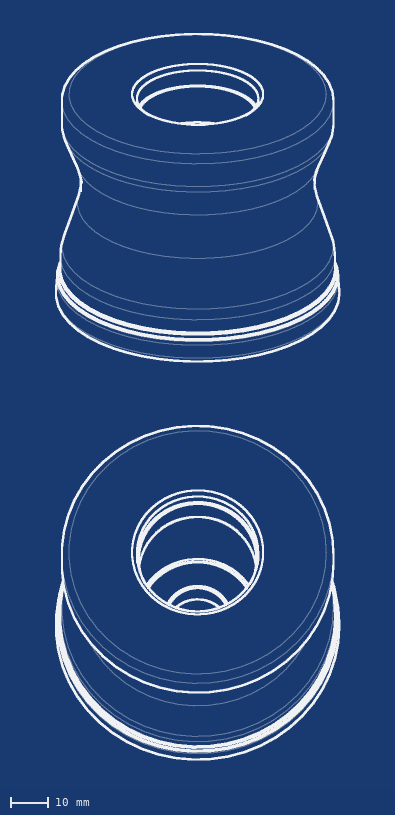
import cadquery as cq
import math

total_height = 63.5
base_height = 10.6

head_radius = 36.5
head_top_fillet = 2.0
head_bottom_z = 53.6
head_bottom_fillet = 5.0
waist_radius = 30.1
waist_z = 37.4
waist_fillet = 20.0
skirt_radius = 36.9
skirt_top_z = 16.0
skirt_fillet = 10.0

bore_radius = 16.3
bore_chamfer = 1.3
land_radius = 15.8
land_depth = 5.9
land_top_z = total_height - land_depth
land_bottom_z = 46.8
land_cone_bottom_z = 45.6

collar_bottom_z = 10.35
bevel_top_radius = 37.1
bevel_top_z = 10.05
bevel_bottom_radius = 37.5
bevel_bottom_z = 8.9
rim_edge_radius = 37.7
rim_edge_z = 8.6
rim_radius = 37.8
rim_top_z = 8.3
rim_taper_top_z = 7.2
rim_bottom_radius = 38.2
rim_bottom_z = 2.3
rim_bottom_fillet = 1.5
foot_radius = 31.5
recess_radius = 15.6
recess_depth = 0.75
hole_radius = 8.45
hole_chamfer = 0.45


def unit_vector(start, end):
    length = math.dist(start, end)
    return (end[0] - start[0]) / length, (end[1] - start[1]) / length


def corner_arc(before, corner, after, radius):
    """Start, middle and end of the arc that rounds one corner of an outline."""
    ax, az = unit_vector(corner, before)
    bx, bz = unit_vector(corner, after)
    half_angle = math.acos(ax * bx + az * bz) / 2
    tangent_length = radius / math.tan(half_angle)
    start = (corner[0] + tangent_length * ax, corner[1] + tangent_length * az)
    end = (corner[0] + tangent_length * bx, corner[1] + tangent_length * bz)
    dx, dz = unit_vector((0, 0), (ax + bx, az + bz))
    middle_distance = radius / math.sin(half_angle) - radius
    middle = (corner[0] + middle_distance * dx, corner[1] + middle_distance * dz)
    return start, middle, end


def revolved_body(corners):
    """Turn an outline of (radius, z, fillet) corners about Z; the first corner is sharp."""
    points = [(radius, z) for radius, z, fillet in corners]
    outline = cq.Workplane("XZ").moveTo(*points[0])
    for i in range(1, len(corners)):
        fillet = corners[i][2]
        if fillet == 0:
            outline = outline.lineTo(*points[i])
        else:
            after = points[(i + 1) % len(points)]
            start, middle, end = corner_arc(points[i - 1], points[i], after, fillet)
            outline = outline.lineTo(*start).threePointArc(middle, end)
    return outline.close().revolve(360, (0, 0), (0, 1))


def make_knob():
    return revolved_body([
        (bore_radius, base_height, 0),
        (skirt_radius, base_height, 0),
        (skirt_radius, skirt_top_z, skirt_fillet),
        (waist_radius, waist_z, waist_fillet),
        (head_radius, head_bottom_z, head_bottom_fillet),
        (head_radius, total_height, head_top_fillet),
        (bore_radius + bore_chamfer, total_height, 0),
        (bore_radius, total_height - bore_chamfer, 0),
        (bore_radius, land_top_z, 0),
        (land_radius, land_top_z, 0),
        (land_radius, land_bottom_z, 0),
        (bore_radius, land_cone_bottom_z, 0),
    ])


def make_base():
    recess_floor_z = base_height - recess_depth
    return revolved_body([
        (hole_radius, 0, 0),
        (foot_radius, 0, 0),
        (rim_bottom_radius, rim_bottom_z, rim_bottom_fillet),
        (rim_radius, rim_taper_top_z, 0),
        (rim_radius, rim_top_z, 0),
        (rim_edge_radius, rim_edge_z, 0),
        (bevel_bottom_radius, bevel_bottom_z, 0),
        (bevel_top_radius, bevel_top_z, 0),
        (skirt_radius, collar_bottom_z, 0),
        (skirt_radius, base_height, 0),
        (recess_radius, base_height, 0),
        (recess_radius, recess_floor_z, 0),
        (hole_radius + hole_chamfer, recess_floor_z, 0),
        (hole_radius, recess_floor_z - hole_chamfer, 0),
    ])


knob = make_knob()
base = make_base()

result = cq.Compound.makeCompound([knob.val(), base.val()])